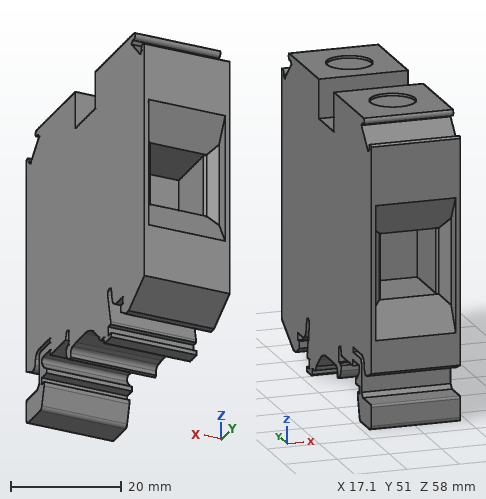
import cadquery as cq

width = 17.05
length = 51.0
height = 58.0
half_length = length / 2

slot_width = 8.6
slot_depth = 7.5
screw_diameter = 8.5
screw_offset = 12.3
marker_diameter = 3.6
recess_depth = 0.45
bead_radius = 0.7
bead_near = 0.6
bead_far = 4.65
groove_near = 1.75
groove_far = 5.55

entry_width = 15.25
entry_bottom = 17.0
entry_top = 42.6
throat_width = 11.35
throat_bottom = 23.45
throat_top = 35.95
inner_throat_width = 10.6
funnel_depth = 3.8
throat_lead_in = 0.6
throat_depth = 15.1

end_bottom_front = 10.8
end_bottom_back = 6.45
spring_slot_top = 12.8
spring_slot_bottom = 11.95
spring_slot_end = -15.25
arm_outer_y = -19.95
arm_inner_y = -18.75
arm_bottom = 10.4
latch_top = 4.9
latch_top_round = 0.4
latch_bottom_round = 0.9
rail_lip = 5.1
rail_ceiling = 9.3
relief_top = 10.85
arch_top = 6.65
foot_bottom = 0.65
hook_ceiling = 6.45


def trace_front_spring(path):
    """Rounded front lip and the slot that frees the latch arm from the body."""
    return (
        path.lineTo(-half_length, end_bottom_front)
        .lineTo(-23.2, 9.7)
        .threePointArc((-22.2, 9.7), (-21.65, 10.3))
        .lineTo(-21.45, 11.6)
        .threePointArc((-20.95, 12.4), (-19.9, spring_slot_top))
        .lineTo(spring_slot_end, spring_slot_top)
        .lineTo(spring_slot_end, spring_slot_bottom)
        .lineTo(-19.25, spring_slot_bottom)
        .threePointArc((-19.7, 11.7), (arm_outer_y, 11.25))
    )


def trace_latch(path):
    """Release latch: arm, grip block, rail ledge and the hook above it."""
    chamfer_run = 0.8
    return (
        path.lineTo(arm_outer_y, latch_top + chamfer_run)
        .lineTo(arm_outer_y - chamfer_run, latch_top)
        .lineTo(-half_length + latch_top_round, latch_top)
        .radiusArc((-half_length, latch_top - latch_top_round), -latch_top_round)
        .lineTo(-half_length, latch_bottom_round)
        .radiusArc((-half_length + latch_bottom_round, 0), -latch_bottom_round)
        .lineTo(-19.4, 0)
        .threePointArc((-18.95, 0.25), (arm_inner_y, 0.7))
        .lineTo(-17.75, 4.3)
        .lineTo(-17.75, rail_lip)
        .lineTo(arm_inner_y, rail_lip)
        .lineTo(arm_inner_y, 6.4)
        .lineTo(-16.65, 6.4)
        .lineTo(-16.65, 7.3)
        .threePointArc((-17.8, 8.1), (arm_inner_y, 9.4))
        .threePointArc((-18.7, 10.05), (-18.2, arm_bottom))
    )


def trace_rail_seat(path):
    """Flat rail ceiling, front relief slot and the curved lip behind it."""
    return (
        path.lineTo(-15.0, arm_bottom)
        .lineTo(-15.0, rail_ceiling)
        .lineTo(-8.45, rail_ceiling)
        .lineTo(-8.25, 10.45)
        .threePointArc((-7.65, relief_top), (-7.15, 10.45))
        .lineTo(-7.15, 7.7)
        .lineTo(-7.8, 7.65)
        .lineTo(-8.3, 7.35)
        .lineTo(-8.3, 6.4)
        .threePointArc((-7.8, 5.2), (-6.65, 4.45))
        .lineTo(-6.25, 4.7)
        .lineTo(-6.25, 5.6)
    )


def trace_arch_and_foot(path):
    """Arch between the rail edges and the notched foot at its +Y side."""
    return (
        path.threePointArc((-5.9, 6.25), (-5.2, 6.5))
        .lineTo(-3.9, arch_top)
        .lineTo(0, arch_top)
        .threePointArc((2.05, 6.25), (3.7, 5.1))
        .lineTo(5.85, 3.1)
        .threePointArc((6.2, 2.3), (6.95, 2.05))
        .lineTo(8.05, 2.05)
        .lineTo(8.05, 0.9)
        .lineTo(8.35, foot_bottom)
        .lineTo(11.2, foot_bottom)
        .lineTo(11.2, 1.5)
        .lineTo(9.85, 1.5)
        .lineTo(9.85, 3.3)
        .lineTo(10.95, 3.3)
        .lineTo(10.95, 3.9)
        .lineTo(9.6, 10.05)
    )


def trace_rear_hook(path):
    """Rear relief slot and the fixed hook that holds the rail."""
    return (
        path.threePointArc((10.4, relief_top), (11.25, 10.05))
        .lineTo(11.6, 8.0)
        .threePointArc((12.1, 7.1), (13.2, hook_ceiling))
        .lineTo(16.25, hook_ceiling)
        .lineTo(16.25, rail_lip)
        .lineTo(15.3, rail_lip)
        .lineTo(15.3, 3.75)
        .lineTo(17.35, 2.45)
        .lineTo(18.75, 2.45)
        .lineTo(half_length, end_bottom_back)
    )


def make_body():
    """Side outline extruded over the whole width."""
    path = cq.Workplane("YZ").moveTo(-half_length, height)
    for trace in (trace_front_spring, trace_latch, trace_rail_seat,
                  trace_arch_and_foot, trace_rear_hook):
        path = trace(path)
    outline = path.lineTo(half_length, height).close()
    return outline.extrude(width / 2, both=True)


def bar(y, z, radius):
    """Round bar along X over the whole width."""
    return cq.Workplane("YZ").center(y, z).circle(radius).extrude(width / 2, both=True)


def make_corner_groove():
    """45 degree groove across the -Y top corner, leaving a bead at each rim."""
    side_near = bead_far - (groove_far - groove_near)
    inset_drop_points = [
        (0, 0),
        (bead_far, 0),
        (bead_far, side_near),
        (groove_far, groove_near),
        (groove_near, groove_far),
        (side_near, bead_far),
        (0, bead_far),
    ]
    groove = (
        cq.Workplane("YZ")
        .polyline([(-half_length + inset, height - drop) for inset, drop in inset_drop_points])
        .close()
        .extrude(width / 2, both=True)
    )
    edge_bead = bar(-half_length + bead_near, height - bead_far, bead_radius)
    top_bead = bar(-half_length + bead_far, height - bead_near, bead_radius)
    return groove.cut(edge_bead).cut(top_bead)


def make_wire_entry():
    """Funnel and throat cut into the -Y end face."""
    ramp_slope = (throat_bottom - entry_bottom) / funnel_depth
    side_depth = (entry_width - throat_width) / 2 / ramp_slope
    back_y = -half_length + funnel_depth
    ramps = (
        cq.Workplane("YZ")
        .moveTo(-half_length, entry_bottom)
        .lineTo(back_y, throat_bottom)
        .lineTo(back_y, throat_top)
        .lineTo(-half_length, entry_top)
        .close()
        .extrude(entry_width / 2, both=True)
    )
    sides = (
        cq.Workplane("XY")
        .workplane(offset=entry_bottom)
        .moveTo(-entry_width / 2, -half_length)
        .lineTo(-entry_width / 2, back_y - side_depth)
        .lineTo(-throat_width / 2, back_y)
        .lineTo(throat_width / 2, back_y)
        .lineTo(entry_width / 2, back_y - side_depth)
        .lineTo(entry_width / 2, -half_length)
        .close()
        .extrude(entry_top - entry_bottom)
    )
    throat_end_y = -half_length + throat_depth
    throat = (
        cq.Workplane("XY")
        .workplane(offset=throat_bottom)
        .moveTo(-throat_width / 2, back_y)
        .lineTo(-inner_throat_width / 2, back_y + throat_lead_in)
        .lineTo(-inner_throat_width / 2, throat_end_y)
        .lineTo(inner_throat_width / 2, throat_end_y)
        .lineTo(inner_throat_width / 2, back_y + throat_lead_in)
        .lineTo(throat_width / 2, back_y)
        .close()
        .extrude(throat_top - throat_bottom)
    )
    return ramps.intersect(sides).union(throat)


def make_recess(y, top_z, diameter):
    """Shallow round recess opening upward at top_z."""
    return (
        cq.Workplane("XY")
        .workplane(offset=top_z)
        .center(0, y)
        .circle(diameter / 2)
        .extrude(-recess_depth)
    )


body = make_body()

slot_floor = height - slot_depth
slot = (
    cq.Workplane("XY")
    .workplane(offset=slot_floor)
    .rect(width, slot_width)
    .extrude(slot_depth)
)
body = body.cut(slot).cut(make_recess(0, slot_floor, marker_diameter))

for screw_y in (-screw_offset, screw_offset):
    body = body.cut(make_recess(screw_y, height, screw_diameter))

for end_cut in (make_corner_groove(), make_wire_entry()):
    body = body.cut(end_cut).cut(end_cut.mirror("XZ"))

result = body